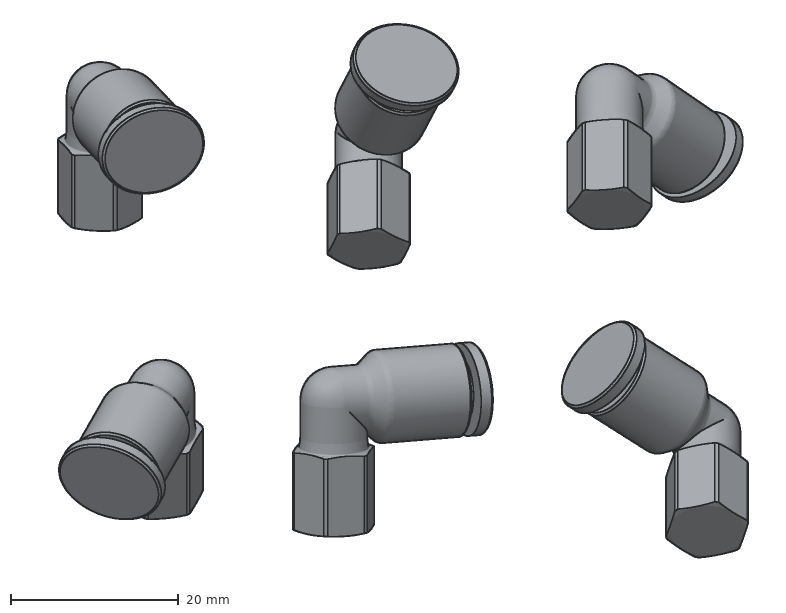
import cadquery as cq
import math


total_length = 23.0
total_height = 21.3

tube_radius = 4.0

hex_flat_distance = 9.0
hex_corner_radius = 5.05
hex_end_angle = 16.0
hex_land_radius = 4.46
hex_height = 9.82

neck_bottom_radius = 4.16
neck_top_z = 11.25
neck_fillet = 0.23

socket_radius = 5.6
cone_length = 1.89
socket_length = 12.12
shoulder_fillet = 1.0
end_chamfer = 0.25

collar_radius = 3.75
gap_length = 0.78

flange_width = 13.0
flange_height = 11.05
flange_thickness = 1.59

hex_apothem = hex_flat_distance / 2
end_slope = math.tan(math.radians(hex_end_angle))
axis_z = total_height - socket_radius
flange_end_x = total_length - hex_corner_radius
flange_start_x = flange_end_x - flange_thickness
socket_end_x = flange_start_x - gap_length
cone_start_x = socket_end_x - socket_length
cone_end_x = cone_start_x + cone_length


def hexagonal_base():
    """Hexagon with corners along X, trimmed by a round bar with conical ends."""
    end_drop = (hex_corner_radius - hex_land_radius) * end_slope
    sharp_corner_distance = hex_flat_distance / math.cos(math.pi / 6)
    hexagon = cq.Workplane("XY").polygon(6, sharp_corner_distance)
    hexagon = hexagon.extrude(hex_height)
    bar = (
        cq.Workplane("XZ")
        .polyline([
            (0, 0),
            (hex_land_radius, 0),
            (hex_corner_radius, end_drop),
            (hex_corner_radius, hex_height - end_drop),
            (hex_land_radius, hex_height),
            (0, hex_height),
        ])
        .close()
        .revolve(360, (0, 0, 0), (0, 1, 0))
    )
    return hexagon.intersect(bar)


def upright_tube():
    """Flared neck on the base, with the tube rising from it to the elbow."""
    return (
        cq.Workplane("XZ")
        .polyline([
            (0, 0),
            (neck_bottom_radius, 0),
            (neck_bottom_radius, hex_height),
            (tube_radius, neck_top_z),
            (tube_radius, axis_z),
            (0, axis_z),
        ])
        .close()
        .revolve(360, (0, 0, 0), (0, 1, 0))
    )


def upright_half():
    """Base and tube joined, with a fillet at the foot of the neck."""
    joined = hexagonal_base().union(upright_tube())
    foot = cq.selectors.BoxSelector(
        (-hex_apothem, -hex_apothem, hex_height - 0.02),
        (hex_apothem, hex_apothem, hex_height + 0.02),
    )
    return joined.edges("%CIRCLE").edges(foot).fillet(neck_fillet)


def elbow_ball():
    """Sphere that rounds the outside of the bend."""
    return cq.Workplane("XY").sphere(tube_radius).translate((0, 0, axis_z))


def socket():
    """Level tube, conical shoulder and socket barrel, turned about the level axis."""
    turned = (
        cq.Workplane("XY")
        .polyline([
            (0, 0),
            (0, tube_radius),
            (cone_start_x, tube_radius),
            (cone_end_x, socket_radius),
            (socket_end_x, socket_radius),
            (socket_end_x, 0),
        ])
        .close()
        .revolve(360, (0, 0, 0), (1, 0, 0))
    )
    for shoulder_x in (cone_start_x, cone_end_x):
        edge = cq.selectors.BoxSelector(
            (shoulder_x - 0.23, -socket_radius, -socket_radius),
            (shoulder_x + 0.23, socket_radius, socket_radius),
        )
        turned = turned.edges("%CIRCLE").edges(edge).fillet(shoulder_fillet)
    turned = turned.faces(">X").edges().chamfer(end_chamfer)
    return turned.translate((0, 0, axis_z))


def release_button():
    """Collar and oval flange at the mouth of the socket."""
    collar = (
        cq.Workplane("YZ", origin=(socket_end_x, 0, axis_z))
        .circle(collar_radius)
        .extrude(gap_length)
    )
    flange = (
        cq.Workplane("YZ", origin=(flange_start_x, 0, axis_z))
        .ellipse(flange_width / 2, flange_height / 2)
        .extrude(flange_thickness)
        .faces(">X")
        .edges()
        .chamfer(end_chamfer)
    )
    return collar.union(flange)


level_half = socket().intersect(
    cq.Workplane("XY").box(46, 46, 46).translate((23, 0, axis_z))
)
result = (
    upright_half()
    .union(elbow_ball())
    .union(level_half)
    .union(release_button())
)